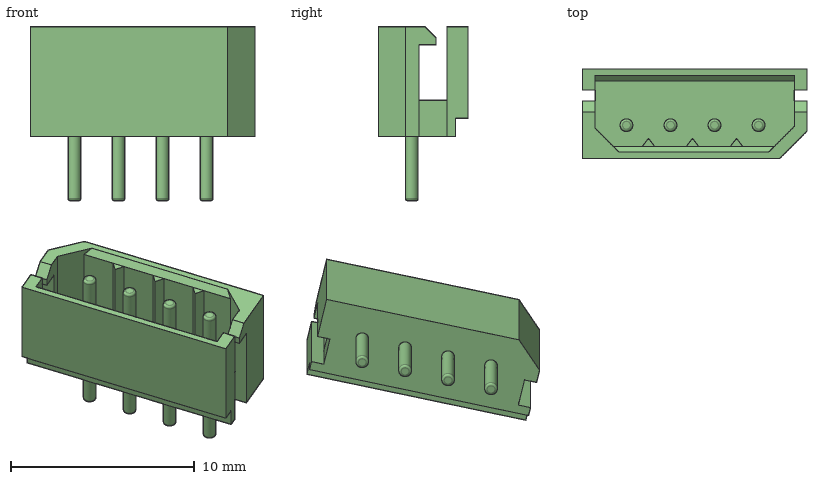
import cadquery as cq

LENGTH = 12.24
DEPTH = 4.9
HEIGHT = 6.0
CORNER_CUT = 1.49

FLOOR_Z = 2.0
END_WALL = 0.69
LIP_WALL = 0.35
LEAD_IN = 0.32
LONG_WALL = LIP_WALL + LEAD_IN
LEFT_BEVEL = 1.31
RIGHT_BEVEL = 1.41

SLOT_BACK_Y = DEPTH - 1.16
SLOT_FRONT_Y = DEPTH - 2.67
HOOK_TIP_Y = DEPTH - 1.75
HOOK_HEIGHT = 0.99
HOOK_CHAMFER = 0.6

STEP_DEPTH = 0.69
STEP_HEIGHT = 0.99

PIN_COUNT = 4
PIN_PITCH = 2.4
FIRST_PIN_X = 2.4
PIN_Y = 1.82
PIN_DIAMETER = 0.7
PIN_TOP_Z = 5.15
PIN_BOTTOM_Z = -3.5
PIN_END_ROUND = 0.13

RIB_HALF_WIDTH = 0.33
RIB_DEPTH = 0.43
RIB_TOP_Z = HEIGHT - LEAD_IN

PIN_XS = [FIRST_PIN_X + i * PIN_PITCH for i in range(PIN_COUNT)]


def make_block():
    """Outer block with its bevelled front right corner."""
    outline = [
        (0, 0),
        (LENGTH - CORNER_CUT, 0),
        (LENGTH, CORNER_CUT),
        (LENGTH, DEPTH),
        (0, DEPTH),
    ]
    return cq.Workplane("XY").polyline(outline).close().extrude(HEIGHT)


def make_cavity():
    """Bevelled pocket whose long walls flare out to the rim."""
    right = LENGTH - END_WALL
    rim_outline = [
        (END_WALL + LEFT_BEVEL, LIP_WALL),
        (right - RIGHT_BEVEL, LIP_WALL),
        (right, LIP_WALL + RIGHT_BEVEL),
        (right, DEPTH - LIP_WALL),
        (END_WALL, DEPTH - LIP_WALL),
        (END_WALL, LIP_WALL + LEFT_BEVEL),
    ]
    floor = cq.Workplane("XY", origin=(0, 0, FLOOR_Z))
    prism = floor.polyline(rim_outline).close().extrude(HEIGHT - FLOOR_Z)
    flare_z = HEIGHT - LEAD_IN
    flared_profile = [
        (LONG_WALL, FLOOR_Z),
        (DEPTH - LONG_WALL, FLOOR_Z),
        (DEPTH - LONG_WALL, flare_z),
        (DEPTH - LIP_WALL, HEIGHT),
        (LIP_WALL, HEIGHT),
        (LONG_WALL, flare_z),
    ]
    flared = cq.Workplane("YZ").polyline(flared_profile).close().extrude(LENGTH)
    return prism.intersect(flared)


def make_end_slot(start_x):
    """Full-height slot through one end wall, narrowed by a hook at the top."""
    profile = [
        (SLOT_BACK_Y, 0),
        (SLOT_BACK_Y, HEIGHT),
        (HOOK_TIP_Y - HOOK_CHAMFER, HEIGHT),
        (HOOK_TIP_Y, HEIGHT - HOOK_CHAMFER),
        (HOOK_TIP_Y, HEIGHT - HOOK_HEIGHT),
        (SLOT_FRONT_Y, HEIGHT - HOOK_HEIGHT),
        (SLOT_FRONT_Y, 0),
    ]
    return cq.Workplane("YZ", origin=(start_x, 0, 0)).polyline(profile).close().extrude(END_WALL)


def make_rear_step():
    """Rebate along the bottom rear edge."""
    step = cq.Workplane("XY").box(LENGTH, STEP_DEPTH, STEP_HEIGHT, centered=False)
    return step.translate((0, DEPTH - STEP_DEPTH, 0))


def make_rib(center_x):
    """Triangular rib standing on the cavity floor against the front wall."""
    outline = [
        (center_x - RIB_HALF_WIDTH, LONG_WALL),
        (center_x + RIB_HALF_WIDTH, LONG_WALL),
        (center_x, LONG_WALL + RIB_DEPTH),
    ]
    floor = cq.Workplane("XY", origin=(0, 0, FLOOR_Z))
    return floor.polyline(outline).close().extrude(RIB_TOP_Z - FLOOR_Z)


def make_housing():
    body = make_block().cut(make_cavity()).cut(make_rear_step())
    for start_x in (0, LENGTH - END_WALL):
        body = body.cut(make_end_slot(start_x))
    for pin_x in PIN_XS[:-1]:
        body = body.union(make_rib(pin_x + PIN_PITCH / 2))
    pin_centers = [(x, PIN_Y) for x in PIN_XS]
    holes = cq.Workplane("XY").pushPoints(pin_centers).circle(PIN_DIAMETER / 2).extrude(FLOOR_Z)
    return body.cut(holes)


def make_pin(pin_x):
    """Round pin with rounded ends."""
    pin = cq.Workplane("XY", origin=(pin_x, PIN_Y, PIN_BOTTOM_Z)).circle(PIN_DIAMETER / 2)
    pin = pin.extrude(PIN_TOP_Z - PIN_BOTTOM_Z)
    return pin.faces(">Z or <Z").edges().fillet(PIN_END_ROUND)


housing = make_housing()
pins = [make_pin(x) for x in PIN_XS]
result = cq.Compound.makeCompound([housing.val(), *[pin.val() for pin in pins]])